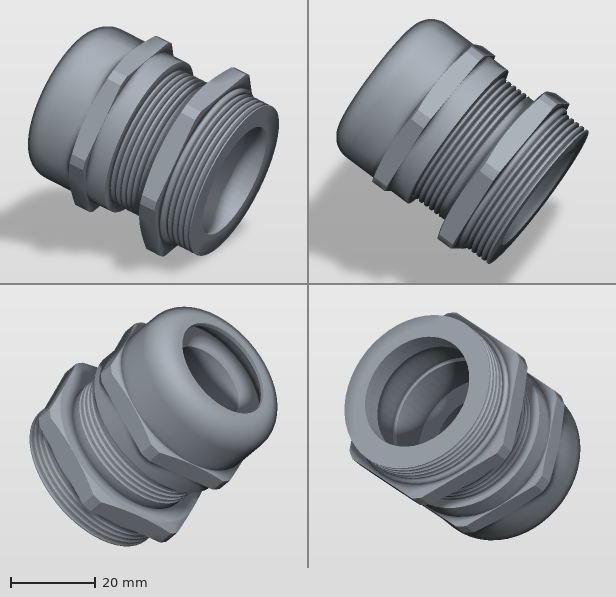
import cadquery as cq
import math


YAW = 22.2
PITCH_DOWN = 17.7
FRONT_CENTRE = (-22.35, -9.95, 8.35)
HEX_ROLL = -22.2

CAP_DIAMETER = 39.7
CAP_LENGTH = 24.2
CAP_ROUND = 5.8
CAP_HEX_START = 14.2
CAP_HEX_END = 18.85
CAP_HEX_FLATS = 40.0
CAP_HEX_CORNERS = 44.65

MOUTH_DIAMETER = 25.45
LIP_DIAMETER = 25.2
LIP_BEVEL = 0.25
LIP_END = 1.2
CONE_END = 6.2

BODY_FRONT = 6.45
BODY_REAR = 48.2
SLEEVE_DIAMETER = 33.25
SLEEVE_END = 14.2
NECK_DIAMETER = 35.35
NECK_THREAD_DIAMETER = 35.65
BODY_HEX_START = 34.9
BODY_HEX_END = 39.85
BODY_HEX_FLATS = 42.8
BODY_HEX_CORNERS = 48.0
BODY_HEX_FACE = BODY_HEX_FLATS
SEAT_DIAMETER = 38.25
ENTRY_DIAMETER = 39.7

SEAL_BORE = 30.15
SEAL_BORE_END = 31.5
CHAMBER_DIAMETER = 32.0
CHAMBER_END = 42.2
ENTRY_BORE = 28.45

THREAD_PITCH = 1.5 + 0.025
THREAD_CREST = 0.5
GROOVE_WIDTH = THREAD_PITCH - THREAD_CREST
GROOVE_DEPTH = (NECK_DIAMETER - SLEEVE_DIAMETER) / 2
NECK_THREAD_END = 32.1
NECK_GROOVES = 11
ENTRY_THREAD_END = 47.9
ENTRY_GROOVES = 4
ENTRY_THREAD_START = ENTRY_THREAD_END - ENTRY_GROOVES * THREAD_PITCH

SEAL_HOLE = 20.2
SEAL_END = 20.7
O_RING_SECTION = 1.6

HEX_BEVEL_ANGLE = 20

AXIS = (
    math.cos(math.radians(PITCH_DOWN)) * math.cos(math.radians(YAW)),
    math.cos(math.radians(PITCH_DOWN)) * math.sin(math.radians(YAW)),
    -math.sin(math.radians(PITCH_DOWN)),
)
LEVEL = (math.sin(math.radians(YAW)), -math.cos(math.radians(YAW)), 0)
GLAND_PLANE = cq.Plane(origin=FRONT_CENTRE, xDir=LEVEL, normal=AXIS)


def revolved(outline):
    """Spin a closed outline, given as radius and station, around the Z axis."""
    return outline.close().revolve(360, (0, 0, 0), (0, 1, 0)).rotate((0, 0, 0), (1, 0, 0), 90)


def cylinder(diameter, start, end):
    return cq.Workplane("XY").workplane(offset=start).circle(diameter / 2).extrude(end - start)


def cone(start_diameter, end_diameter, start, end):
    return revolved(
        cq.Workplane("XY")
        .moveTo(0, start)
        .lineTo(start_diameter / 2, start)
        .lineTo(end_diameter / 2, end)
        .lineTo(0, end)
    )


def hexagon(flats, corners, face, start, end):
    """A hexagon with rounded-off corners and a conical bevel around its front face."""
    prism = (
        cq.Workplane("XY")
        .workplane(offset=start)
        .polygon(6, flats, circumscribed=True)
        .extrude(end - start)
        .rotate((0, 0, 0), (0, 0, 1), HEX_ROLL)
    )
    bevel = (corners - face) / 2 * math.tan(math.radians(HEX_BEVEL_ANGLE))
    envelope = cone(face, corners, start, start + bevel).union(cylinder(corners, start + bevel, end))
    return prism.intersect(envelope)


def thread_grooves(diameter, thread_end, count):
    """V-shaped ring grooves, one pitch apart, ending at thread_end."""
    grooves = cq.Workplane("XY")
    for index in range(count):
        rear = thread_end - index * THREAD_PITCH
        grooves = grooves.add(
            revolved(
                cq.Workplane("XY")
                .moveTo(diameter / 2, rear)
                .lineTo(diameter / 2 - GROOVE_DEPTH, rear - GROOVE_WIDTH / 2)
                .lineTo(diameter / 2, rear - GROOVE_WIDTH)
            )
        )
    return grooves.combine()


def make_cap():
    outside = cylinder(CAP_DIAMETER, 0, CAP_LENGTH).faces("<Z").edges().fillet(CAP_ROUND)
    outside = outside.union(
        hexagon(CAP_HEX_FLATS, CAP_HEX_CORNERS, CAP_DIAMETER, CAP_HEX_START, CAP_HEX_END)
    )
    cavity = (
        cone(MOUTH_DIAMETER, LIP_DIAMETER, 0, LIP_BEVEL)
        .union(cylinder(LIP_DIAMETER, LIP_BEVEL, LIP_END))
        .union(cone(LIP_DIAMETER, SLEEVE_DIAMETER, LIP_END, CONE_END))
        .union(cylinder(SLEEVE_DIAMETER, CONE_END, SLEEVE_END))
        .union(cylinder(NECK_THREAD_DIAMETER, SLEEVE_END, CAP_LENGTH))
    )
    return outside.cut(cavity)


def make_body():
    outside = (
        cylinder(SLEEVE_DIAMETER, BODY_FRONT, SLEEVE_END)
        .union(cylinder(NECK_THREAD_DIAMETER, SLEEVE_END, NECK_THREAD_END))
        .union(cylinder(NECK_DIAMETER, NECK_THREAD_END, BODY_HEX_START))
        .union(
            hexagon(BODY_HEX_FLATS, BODY_HEX_CORNERS, BODY_HEX_FACE, BODY_HEX_START, BODY_HEX_END)
        )
        .union(cylinder(SEAT_DIAMETER, BODY_HEX_END, ENTRY_THREAD_START))
        .union(cylinder(ENTRY_DIAMETER, ENTRY_THREAD_START, BODY_REAR))
    )
    bore = (
        cylinder(SEAL_BORE, BODY_FRONT, SEAL_BORE_END)
        .union(cylinder(CHAMBER_DIAMETER, SEAL_BORE_END, CHAMBER_END))
        .union(cylinder(ENTRY_BORE, CHAMBER_END, BODY_REAR))
    )
    return (
        outside.cut(thread_grooves(NECK_THREAD_DIAMETER, NECK_THREAD_END, NECK_GROOVES))
        .cut(thread_grooves(ENTRY_DIAMETER, ENTRY_THREAD_END, ENTRY_GROOVES))
        .cut(bore)
    )


def make_seal():
    return cylinder(SEAL_BORE, BODY_FRONT, SEAL_END).cut(cylinder(SEAL_HOLE, BODY_FRONT, SEAL_END))


def make_o_ring():
    section_radius = O_RING_SECTION / 2
    ring_radius = SEAT_DIAMETER / 2 + section_radius
    return (
        cq.Workplane("XY")
        .center(ring_radius, BODY_HEX_END + section_radius)
        .circle(section_radius)
        .revolve(360, (-ring_radius, 0, 0), (-ring_radius, 1, 0))
        .rotate((0, 0, 0), (1, 0, 0), 90)
    )


def placed(body):
    """Move a body from the upright Z axis onto the tilted axis of the gland."""
    return body.val().moved(cq.Location(GLAND_PLANE))


cap = placed(make_cap())
body = placed(make_body())
seal = placed(make_seal())
o_ring = placed(make_o_ring())

result = cq.Compound.makeCompound([cap, body, seal, o_ring])